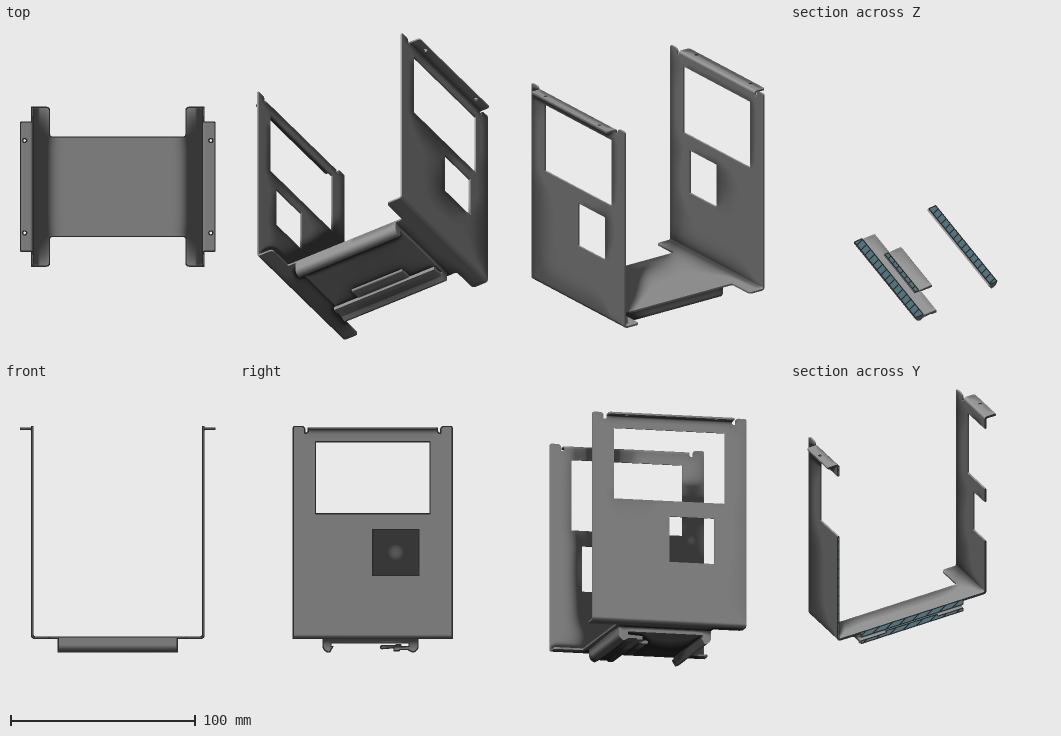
import cadquery as cq

height = 122.2
width = 105.5
depth = 86.0
sheet = 1.0
wall_span = 93.5
floor_bend_radius = 1.0
flange_bend_radius = 0.5
floor_bottom = 7.3

notch_depth = 3.7
notch_width = 1.7
notch_round = 0.7
ear_outer_round = 1.0
ear_inner_round = 2.0
large_window_length = 61.8
large_window_height = 38.9
large_window_bottom = 74.9
small_window_side = 25.0
small_window_bottom = 41.4
small_window_offset = 12.6

flange_length = 70.0
flange_drop = 0.9
flange_corner_round = 1.0
hole_diameter = 2.1
hole_spacing = 50.0
hole_span = 100.7

neck_length = 54.0
cutout_width = 73.6
cutout_round = 1.0
foot_round = 2.0

clip_width = 64.5
clip_back = 24.6
clip_web_bottom = 4.9
hook_radius = 3.7
back_hook_height = 2.8
back_hook_tip = 21.5
pocket_back = 19.5
pocket_front = -22.5
nose_top = 3.2
nose_reach = 1.0
ledge_root = 19.1
ledge_root_top = 3.2
ledge_end = 11.4
ledge_end_top = 2.7
ledge_bottom = 1.3
ledge_lip = 14.8
ledge_lip_drop = 0.6

tongue_width = clip_width / 2
tongue_back = 15.4
tongue_top = 3.7
tongue_root_bottom = 2.3
tongue_tip = 5.1
tongue_tip_bottom = 1.8
hump_front = 12.6
hump_back = 14.9
hump_top = 4.2

outer_x = wall_span / 2
inner_x = outer_x - sheet
half_depth = depth / 2
tongue_tip_round = (tongue_top - tongue_tip_bottom) / 2
clip_front = -neck_length / 2
half_flange = flange_length / 2
flange_top = height - flange_drop
floor_bend_x = inner_x - floor_bend_radius
floor_bend_z = floor_bottom + sheet + floor_bend_radius
flange_bend_x = outer_x + flange_bend_radius
flange_bend_z = flange_top - sheet - flange_bend_radius
SIDES = (-1, 1)


def make_floor():
    """Flat floor, cut back between its four rounded feet."""
    half_cutout = cutout_width / 2
    floor = cq.Workplane("XY", origin=(0, 0, floor_bottom))
    floor = floor.rect(2 * floor_bend_x, depth).extrude(sheet)
    for end in SIDES:
        cutout = (
            cq.Workplane("XY", origin=(0, end * half_depth, floor_bottom))
            .rect(cutout_width, depth - neck_length)
            .extrude(sheet)
            .edges("|Z")
            .fillet(cutout_round)
        )
        floor = floor.cut(cutout)
        for side in SIDES:
            corner_point = (side * half_cutout, end * half_depth, floor_bottom + sheet / 2)
            foot_corner = cq.NearestToPointSelector(corner_point)
            floor = floor.edges("|Z").edges(foot_corner).fillet(foot_round)
    return floor


def make_bend(center_x, center_z, x_side, z_side, inner_radius, length):
    """Quarter ring of sheet along Y, on the given X and Z sides of its centre."""
    outer_radius = inner_radius + sheet
    ring = (
        cq.Workplane("XZ", origin=(center_x, length / 2, center_z))
        .circle(outer_radius)
        .circle(inner_radius)
        .extrude(length)
    )
    quarter = cq.Workplane("XY").box(outer_radius, length, outer_radius)
    quarter = quarter.translate((center_x + x_side * outer_radius / 2, 0, center_z + z_side * outer_radius / 2))
    return ring.intersect(quarter)


def make_wall():
    """Right-hand wall with two relief notches beside the flange, and two windows."""
    half_ear_gap = half_flange + notch_width
    notch_bottom = height - notch_depth
    plane = cq.Workplane("YZ", origin=(inner_x, 0, 0))
    wall = (
        plane.center(0, (floor_bend_z + height) / 2)
        .rect(depth, height - floor_bend_z)
        .extrude(sheet)
        .edges("|X and >Z")
        .fillet(ear_outer_round)
    )
    wall = wall.cut(box_in_wall(flange_length, flange_bend_z, height, 0))
    for end in SIDES:
        wall = wall.cut(
            plane.moveTo(end * half_flange, height)
            .lineTo(end * half_flange, notch_bottom + notch_round)
            .lineTo(end * (half_flange + notch_round), notch_bottom)
            .lineTo(end * half_ear_gap, notch_bottom)
            .lineTo(end * half_ear_gap, height - ear_inner_round)
            .radiusArc((end * (half_ear_gap + ear_inner_round), height), end * ear_inner_round)
            .close()
            .extrude(sheet)
        )
    large_window_top = large_window_bottom + large_window_height
    small_window_top = small_window_bottom + small_window_side
    wall = wall.cut(box_in_wall(large_window_length, large_window_bottom, large_window_top, 0))
    return wall.cut(box_in_wall(small_window_side, small_window_bottom, small_window_top, small_window_offset))


def box_in_wall(length, bottom, top, offset):
    """Block through the right-hand wall, between two heights."""
    block = cq.Workplane("XY").box(sheet, length, top - bottom)
    return block.translate((inner_x + sheet / 2, offset, (bottom + top) / 2))


def make_flange():
    """Right-hand flange plate with rounded outer corners and two holes."""
    flange_width = width / 2 - flange_bend_x
    hole_points = [(hole_span / 2, end * hole_spacing / 2) for end in SIDES]
    flange = (
        cq.Workplane("XY", origin=(0, 0, flange_top - sheet))
        .center(flange_bend_x + flange_width / 2, 0)
        .rect(flange_width, flange_length)
        .extrude(sheet)
        .edges("|Z and >X")
        .fillet(flange_corner_round)
    )
    holes = (
        cq.Workplane("XY", origin=(0, 0, flange_top - sheet))
        .pushPoints(hole_points)
        .circle(hole_diameter / 2)
        .extrude(sheet)
    )
    return flange.cut(holes)


def make_side():
    """Right-hand side: floor bend, wall, flange bend and flange."""
    floor_bend = make_bend(floor_bend_x, floor_bend_z, 1, -1, floor_bend_radius, depth)
    flange_bend = make_bend(flange_bend_x, flange_bend_z, -1, 1, flange_bend_radius, flange_length)
    return make_wall().union(floor_bend).union(flange_bend).union(make_flange())


def make_clip():
    """Rail clip: a web with a nosed hook at the front and a ledged hook at the back."""
    profile = (
        cq.Workplane("YZ", origin=(-clip_width / 2, 0, 0))
        .moveTo(clip_back, floor_bottom)
        .lineTo(clip_back, back_hook_height)
        .radiusArc((back_hook_tip, 0), hook_radius)
        .lineTo(ledge_root, ledge_bottom)
        .lineTo(ledge_lip, ledge_bottom)
        .lineTo(ledge_lip - ledge_lip_drop, ledge_bottom - ledge_lip_drop)
        .lineTo(ledge_end, ledge_bottom - ledge_lip_drop)
        .lineTo(ledge_end, ledge_end_top)
        .lineTo(pocket_back, ledge_root_top)
        .lineTo(pocket_back, clip_web_bottom)
        .lineTo(pocket_front, clip_web_bottom)
        .lineTo(pocket_front, nose_top)
        .lineTo(pocket_front + nose_reach, nose_top)
        .lineTo(clip_front + hook_radius, 0)
        .radiusArc((clip_front, hook_radius), hook_radius)
        .lineTo(clip_front, floor_bottom)
        .close()
    )
    return profile.extrude(clip_width)


def make_tongue():
    """Spring tongue over the ledge, with a rounded tip and a hump just below the web."""
    profile = (
        cq.Workplane("YZ", origin=(-tongue_width / 2, 0, 0))
        .moveTo(tongue_back, ledge_bottom)
        .lineTo(ledge_end, ledge_bottom)
        .lineTo(ledge_end, tongue_root_bottom)
        .lineTo(tongue_tip, tongue_tip_bottom)
        .radiusArc((tongue_tip, tongue_top), tongue_tip_round)
        .lineTo(hump_front, tongue_top)
        .lineTo(hump_front, hump_top)
        .lineTo(hump_back, hump_top)
        .lineTo(tongue_back, tongue_top)
        .close()
    )
    return profile.extrude(tongue_width)


right_side = make_side()
left_side = right_side.rotate((0, 0, 0), (0, 0, 1), 180)
result = make_floor().union(right_side).union(left_side).union(make_clip()).union(make_tongue())